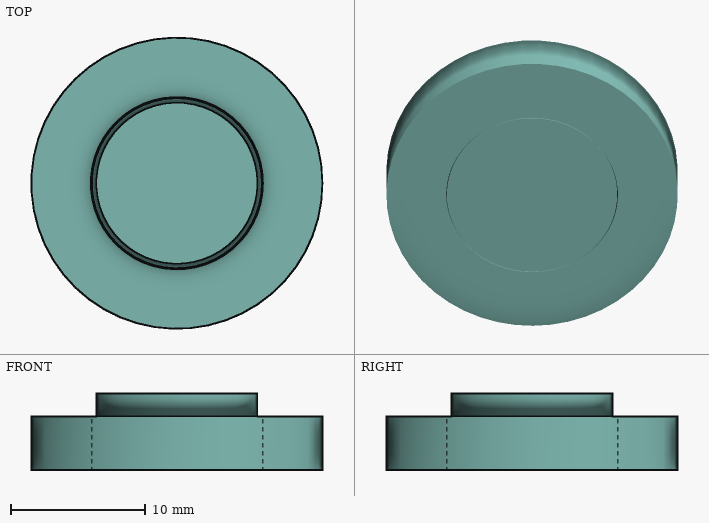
import cadquery as cq

outer_diameter = 21.7
total_height = 5.7
ring_height = 4.0

bore_diameter = 12.8
plug_base_diameter = 12.7
plug_head_diameter = 12.0


def make_ring():
    """Flat ring with a plain through bore."""
    return (
        cq.Workplane("XY")
        .circle(outer_diameter / 2)
        .circle(bore_diameter / 2)
        .extrude(ring_height)
    )


def make_plug():
    """Plug with a base flush with the ring and a narrower head above it."""
    base = cq.Workplane("XY").circle(plug_base_diameter / 2).extrude(ring_height)
    head = cq.Workplane("XY").circle(plug_head_diameter / 2).extrude(total_height)
    return base.union(head)


ring = make_ring()
plug = make_plug()

result = cq.Compound.makeCompound([ring.val(), plug.val()])